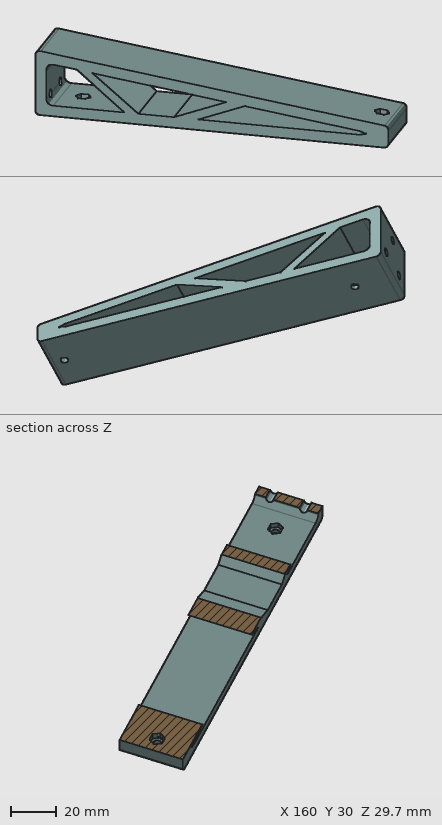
import cadquery as cq
import math

length = 160.0
width = 30.0
tall_end_height = 30.0
short_end_height = 10.0
outer_radius = 2.0

wall = 5.0
pocket_radius = 3.0
tip_x = 150.0
tip_taper_length = 2.9

steep_brace_floor = (40.3, 46.7)
steep_brace_roof = (18.9, 26.0)
shallow_brace_floor = (62.9, 74.0)
shallow_brace_roof = (86.5, 94.9)

mount_hole_diameter = 3.5
mount_hole_spacing = 16.0
mount_hole_base_z = 8.0

bolt_diameter = 3.4
nut_across_flats = 5.8
top_bolt_x = 153.0
top_nut_seat_z = 5.0
floor_bolt_x = 17.6
floor_nut_seat_z = 2.4

slope = (tall_end_height - short_end_height) / length
roof_drop = wall * math.hypot(1, slope)


def top_z(x):
    """Height of the sloping top face."""
    return tall_end_height - slope * x


def floor_point(x):
    return (x, wall)


def roof_point(x):
    """Point on the underside of the sloping top wall."""
    return (x, top_z(x) - roof_drop)


def side_prism(points):
    """Extrude a side outline across the whole width, centred on Y = 0."""
    return cq.Workplane("XZ").polyline(points).close().extrude(width / 2, both=True)


def make_body():
    outline = [(0, 0), (length, 0), (length, short_end_height), (0, tall_end_height)]
    return side_prism(outline).edges("|Y").fillet(outer_radius)


def make_pockets():
    tall_pocket = side_prism([
        floor_point(wall),
        floor_point(steep_brace_floor[0]),
        roof_point(steep_brace_roof[0]),
        roof_point(wall),
    ]).faces("<X").edges("|Y").fillet(pocket_radius)
    middle_pocket = side_prism([
        floor_point(steep_brace_floor[1]),
        floor_point(shallow_brace_floor[0]),
        roof_point(shallow_brace_roof[0]),
        roof_point(steep_brace_roof[1]),
    ])
    taper_x = tip_x - tip_taper_length
    tip_z = (wall + roof_point(tip_x)[1]) / 2
    tip_pocket = side_prism([
        floor_point(shallow_brace_floor[1]),
        floor_point(taper_x),
        (tip_x, tip_z),
        roof_point(taper_x),
        roof_point(shallow_brace_roof[1]),
    ])
    return [tall_pocket, middle_pocket, tip_pocket]


def make_mount_holes():
    apex_z = mount_hole_base_z + mount_hole_spacing * math.sqrt(3) / 2
    centres = [
        (-mount_hole_spacing / 2, mount_hole_base_z),
        (mount_hole_spacing / 2, mount_hole_base_z),
        (0, apex_z),
    ]
    depth = wall + pocket_radius
    return cq.Workplane("YZ").pushPoints(centres).circle(mount_hole_diameter / 2).extrude(depth)


def make_bolt_hole(bolt_x, seat_z, opening_z):
    """Bolt hole from the bottom face, widening to a nut recess between seat_z and opening_z."""
    shank = cq.Workplane("XY").center(bolt_x, 0).circle(bolt_diameter / 2).extrude(opening_z)
    nut_across_corners = nut_across_flats * 2 / math.sqrt(3)
    nut = (
        cq.Workplane("XY", origin=(bolt_x, 0, seat_z))
        .polygon(6, nut_across_corners)
        .extrude(opening_z - seat_z)
    )
    return shank.union(nut)


result = make_body()
for pocket in make_pockets():
    result = result.cut(pocket)
result = result.cut(make_mount_holes())
result = result.cut(make_bolt_hole(top_bolt_x, top_nut_seat_z, tall_end_height))
result = result.cut(make_bolt_hole(floor_bolt_x, floor_nut_seat_z, wall))